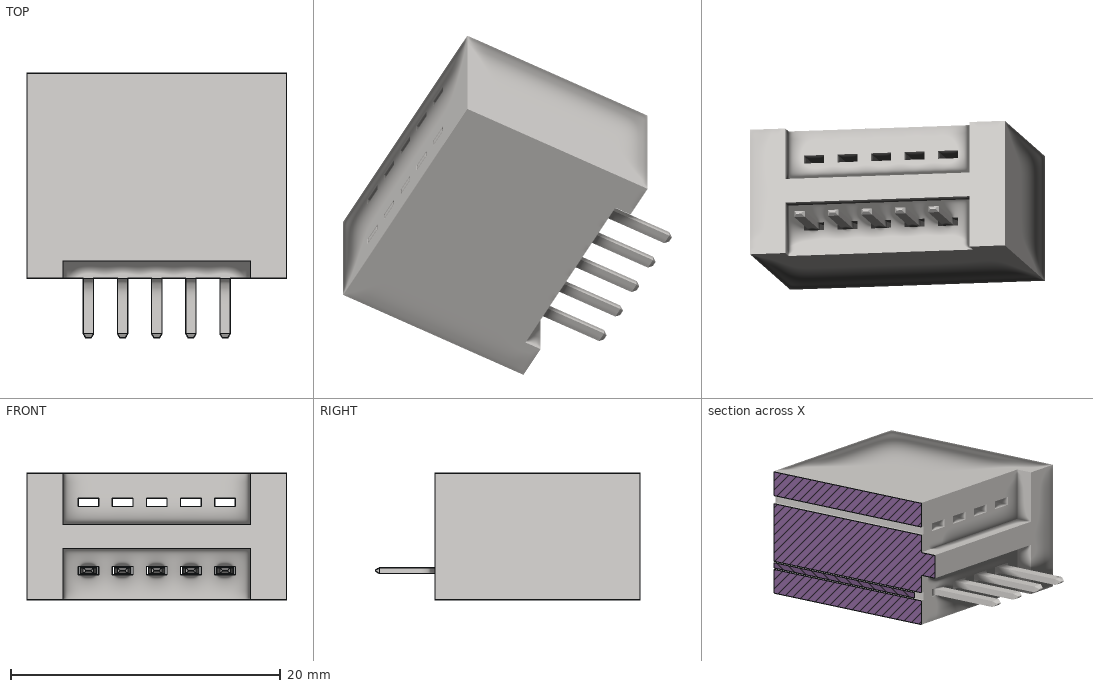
import cadquery as cq

HOUSING_WIDTH = 19.3
HOUSING_DEPTH = 15.25
HOUSING_HEIGHT = 9.4

RECESS_WIDTH = 13.97
RECESS_DEPTH = 1.28
BAR_HEIGHT = 1.8
RECESS_HEIGHT = (HOUSING_HEIGHT - BAR_HEIGHT) / 2

SLOT_COUNT = 5
PITCH = 2.54
ROW_SPACING = 2 * PITCH
SLOT_WIDTH = 1.52
SLOT_HEIGHT = 0.6
SLOT_XS = [(i - (SLOT_COUNT - 1) / 2) * PITCH for i in range(SLOT_COUNT)]
LOWER_ROW_Z = -ROW_SPACING / 2
UPPER_ROW_Z = ROW_SPACING / 2

OVERALL_DEPTH = 19.68
TAIL_LENGTH = OVERALL_DEPTH - HOUSING_DEPTH
CONTACT_THICKNESS = 0.45
BLADE_WIDTH = 1.24
TAIL_WIDTH = 0.79
SHOULDER_START = 1.57
SHOULDER_LENGTH = 0.7
TIP_LENGTH = 0.31
TIP_WIDTH = 0.41
TIP_THICKNESS = 0.08


def make_recess(side):
    """Block cut from the front face; side is 1 for the top recess, -1 for the bottom one."""
    center_z = side * (BAR_HEIGHT + RECESS_HEIGHT) / 2
    return (
        cq.Workplane("XY")
        .box(RECESS_WIDTH, RECESS_DEPTH, RECESS_HEIGHT)
        .translate((0, RECESS_DEPTH / 2, center_z))
    )


def make_slots():
    """Through slots of both rows."""
    centers = [(x, z) for x in SLOT_XS for z in (LOWER_ROW_Z, UPPER_ROW_Z)]
    return cq.Workplane("XZ").pushPoints(centers).rect(SLOT_WIDTH, SLOT_HEIGHT).extrude(-HOUSING_DEPTH)


def make_housing():
    block = (
        cq.Workplane("XY")
        .box(HOUSING_WIDTH, HOUSING_DEPTH, HOUSING_HEIGHT)
        .translate((0, HOUSING_DEPTH / 2, 0))
    )
    return block.cut(make_recess(1)).cut(make_recess(-1)).cut(make_slots())


def make_contact(x):
    """Contact in the lower slot at x: flat blade and tail, with a four-sided tapered tip."""
    tip_base_y = TIP_LENGTH - TAIL_LENGTH
    blade_start_y = SHOULDER_START + SHOULDER_LENGTH
    right_side = [
        (TAIL_WIDTH / 2, tip_base_y),
        (TAIL_WIDTH / 2, SHOULDER_START),
        (BLADE_WIDTH / 2, blade_start_y),
        (BLADE_WIDTH / 2, HOUSING_DEPTH),
    ]
    left_side = [(-half_width, y) for half_width, y in reversed(right_side)]
    strip = (
        cq.Workplane("XY")
        .polyline(right_side + left_side)
        .close()
        .extrude(CONTACT_THICKNESS / 2, both=True)
    )
    tip = (
        cq.Workplane("XZ", origin=(0, tip_base_y, 0))
        .rect(TAIL_WIDTH, CONTACT_THICKNESS)
        .workplane(offset=TIP_LENGTH)
        .rect(TIP_WIDTH, TIP_THICKNESS)
        .loft(ruled=True)
    )
    return strip.union(tip).translate((x, 0, LOWER_ROW_Z))


housing = make_housing()
contacts = [make_contact(x) for x in SLOT_XS]

result = cq.Compound.makeCompound([housing.val(), *[contact.val() for contact in contacts]])